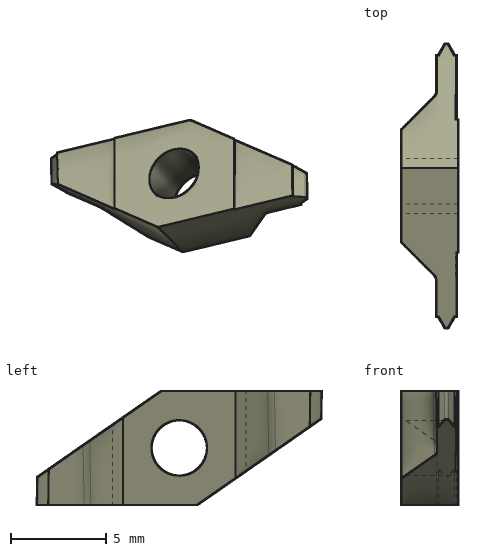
import cadquery as cq
import math

LENGTH = 15.0
WIDTH = 3.0
HEIGHT = 6.0

HOLE_DIAMETER = 2.9
FLAT_END_Y = 0.95
SLOPE_ANGLE = 34.8
CHAMFER_START_Y = 2.96
STEP_Y = 3.5
FILLET_RADIUS = 0.5

BLADE_WIDTH = 1.09
BLADE_CENTER_X = 0.88
SHOULDER_Y = 6.89
TIP_HALF_ANGLE = 30.0
TIP_RADIUS = 0.14
RELIEF_ANGLE = 1.0

HALF_LENGTH = LENGTH / 2
HALF_WIDTH = WIDTH / 2
HALF_HEIGHT = HEIGHT / 2
BLADE_LEFT_X = BLADE_CENTER_X - BLADE_WIDTH / 2
CHAMFER_END_Y = CHAMFER_START_Y + BLADE_LEFT_X + HALF_WIDTH
BLADE_ROOT_Y = STEP_Y / 2


def make_blank():
    """Side outline with two parallel sloping backs, extruded across X."""
    end_height = (HALF_LENGTH - FLAT_END_Y) * math.tan(math.radians(SLOPE_ANGLE))
    end_z = HALF_HEIGHT - end_height
    outline = [
        (-HALF_LENGTH, HALF_HEIGHT),
        (FLAT_END_Y, HALF_HEIGHT),
        (HALF_LENGTH, end_z),
        (HALF_LENGTH, -HALF_HEIGHT),
        (-FLAT_END_Y, -HALF_HEIGHT),
        (-HALF_LENGTH, -end_z),
    ]
    left_side = cq.Workplane("YZ", origin=(-HALF_WIDTH, 0, 0))
    return left_side.polyline(outline).close().extrude(WIDTH)


def make_body():
    """Vertical prism of the thick middle, with 45 degree faces on the -X side."""
    chamfer_tail_y = CHAMFER_START_Y + BLADE_CENTER_X + HALF_WIDTH
    outline = [
        (HALF_WIDTH, -STEP_Y),
        (HALF_WIDTH, STEP_Y),
        (BLADE_CENTER_X, STEP_Y),
        (BLADE_CENTER_X, chamfer_tail_y),
        (-HALF_WIDTH, CHAMFER_START_Y),
        (-HALF_WIDTH, -CHAMFER_START_Y),
        (BLADE_CENTER_X, -chamfer_tail_y),
        (BLADE_CENTER_X, -STEP_Y),
    ]
    bottom = cq.Workplane("XY", origin=(0, 0, -HALF_HEIGHT))
    return bottom.polyline(outline).close().extrude(HEIGHT)


def make_front_blade():
    """Blade with a rounded, pointed tip, drawn at the cutting edge and tapered downward."""
    half_angle = math.radians(TIP_HALF_ANGLE)
    arc_center_y = TIP_RADIUS - HALF_LENGTH
    tangent_y = arc_center_y - TIP_RADIUS * math.sin(half_angle)
    tangent_half_width = TIP_RADIUS * math.cos(half_angle)
    base_half_width = tangent_half_width + (-SHOULDER_Y - tangent_y) * math.tan(half_angle)
    half_blade = BLADE_WIDTH / 2
    profile = (
        cq.Workplane("XY", origin=(BLADE_CENTER_X, 0, HALF_HEIGHT))
        .moveTo(-half_blade, -BLADE_ROOT_Y)
        .lineTo(-half_blade, -SHOULDER_Y)
        .lineTo(-base_half_width, -SHOULDER_Y)
        .lineTo(-tangent_half_width, tangent_y)
        .threePointArc((0, -HALF_LENGTH), (tangent_half_width, tangent_y))
        .lineTo(base_half_width, -SHOULDER_Y)
        .lineTo(half_blade, -SHOULDER_Y)
        .lineTo(half_blade, -BLADE_ROOT_Y)
        .close()
    )
    return profile.extrude(-HEIGHT, taper=RELIEF_ANGLE)


def fillet_blade_root(solid):
    """Round the inside corner between the side face and the blade at each end."""
    reach = FILLET_RADIUS / 2
    for side in (-1, 1):
        corner = cq.selectors.BoxSelector(
            (BLADE_LEFT_X - reach, side * (CHAMFER_END_Y - reach), -HALF_HEIGHT),
            (BLADE_LEFT_X + reach, side * (CHAMFER_END_Y + reach), HALF_HEIGHT),
        )
        solid = solid.edges(corner).fillet(FILLET_RADIUS)
    return solid


def make_hole():
    """Mounting hole through the full width, centred on the part."""
    left_side = cq.Workplane("YZ", origin=(-HALF_WIDTH, 0, 0))
    return left_side.circle(HOLE_DIAMETER / 2).extrude(WIDTH)


front_blade = make_front_blade()
back_blade = front_blade.rotate((0, 0, 0), (1, 0, 0), 180)

shape = make_body().union(front_blade).union(back_blade)
shape = fillet_blade_root(shape)
result = shape.intersect(make_blank()).cut(make_hole())